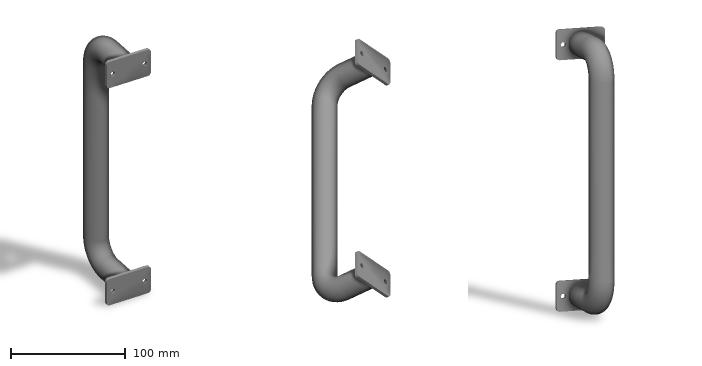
import cadquery as cq

overall_depth = 67.0
overall_height = 250.2

bar_diameter = 22.5
bend_radius = 22.3

plate_width = 44.8
plate_height = 27.0
plate_thickness = 3.0
corner_radius = 3.0
hole_diameter = 4.5
hole_spacing = 32.3

leg_z = (overall_height - plate_height) / 2
wall_x = overall_depth - bar_diameter / 2
plate_x = wall_x - plate_thickness


def make_bar():
    """Solid round bar swept along a U-shaped centreline."""
    straight_end_z = leg_z - bend_radius
    path = (
        cq.Workplane("XZ")
        .moveTo(plate_x, -leg_z)
        .lineTo(bend_radius, -leg_z)
        .tangentArcPoint((0, -straight_end_z), relative=False)
        .lineTo(0, straight_end_z)
        .tangentArcPoint((bend_radius, leg_z), relative=False)
        .lineTo(plate_x, leg_z)
    )
    return (
        cq.Workplane("YZ", origin=(plate_x, 0, -leg_z))
        .circle(bar_diameter / 2)
        .sweep(path)
    )


def make_plate(center_z):
    """Rounded mounting plate with a screw hole on each side of the bar."""
    return (
        cq.Workplane("YZ", origin=(plate_x, 0, center_z))
        .rect(plate_width, plate_height)
        .extrude(plate_thickness)
        .edges("|X")
        .fillet(corner_radius)
        .faces("<X")
        .workplane(centerOption="CenterOfBoundBox")
        .rarray(hole_spacing, 2.5, 2, 1)
        .hole(hole_diameter)
    )


result = make_bar()
for plate_z in (-leg_z, leg_z):
    result = result.union(make_plate(plate_z))